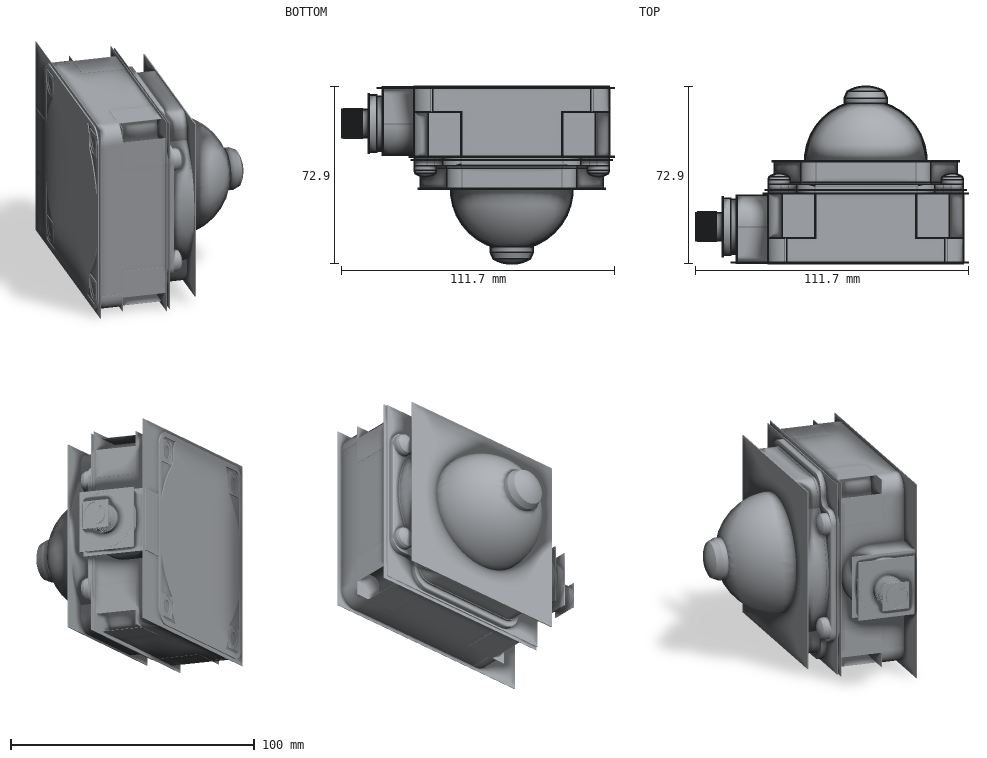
import cadquery as cq
import math


half_x = 40.2
half_z = 40.6
corner_radius = 6.7
wall_step = 0.1
boss_top = 10.7
body_top = 28.8
cover_top = 32.7
cover_rim_fillet = 0.7

sheet = 0.2
rim_sheet_half = 84.1 / 2
rim_sheet_left = -55.1
rim_sheet_right = 42.0
base_sheet_y = 0.6
cover_sheet_y = 30.1
cover_sheet_half = 41.3
top_sheet = 0.5
top_sheet_half = 38.4

well_start = 28.4
well_fillet = 3.3
boss_start_x = 32.4
boss_start_z = 32.9
side_sheet_x = (20.5, 34.2)
side_sheet_z = (22.9, 34.5)
side_sheet_lap = 0.3

hole_offset = 32.5
hole_radius = 2.8
pad_width = 9.5
pad_bore_radius = 4.6
pad_bore_depth = 0.2
pocket_depth = 0.5
pad_height = 0.3
hole_floor = 0.6
pocket_x = 38.0
pocket_z = 38.4
pocket_radius = 4.0
pocket_arc_radius = 35.7
pocket_arc_start_z = 11.3
pocket_arc_end = (27.8, 27.5)
pocket_side_x = 26.7
pocket_side_z = (30.0, 34.5)
pocket_tip_x = 24.5

block_radius = 37.6
block_half_x = 26.6
block_half_z = 37.7
block_fillet = 6.0
block_top = 42.3
seam_height = 0.9
seam_step = 0.2

dome_radius = 25.1
dome_centre_y = 42.0
cap_base_y = 65.9
cap_band_y = 68.0
cap_shoulder_y = 70.8
cap_radius = 8.8
cap_shoulder_radius = 7.6
apex_y = 72.9

screw_x = 35.5
screw_z = 22.5
screw_radius = 4.6
screw_lug_top = 34.5
screw_rim_top = 35.7
screw_rim_radius = 4.1
screw_top = 37.1

gland_y = 15.3
gland_radius = 13.0
gland_base_y = 0.2
gland_face_x = -53.1
gland_sheet = 0.5
gland_sheet_half = 13.2
collar_radius = 11.3
nut_x = (-58.4, -55.4)
nut_radius = 12.3
nut_flat_half = 11.7
nut_sheet = 0.5
nut_sheet_half_y = 12.3
nut_sheet_half_z = 12.6
nut_ring_radius = 12.0
nut_ring_width = 0.2
nut_ring_depth = 0.1

tip_x = -69.7
thread_x = (-68.9, -60.8)
thread_radius = 6.0
core_radius = 5.8
thread_turns = 9
tip_sheet_half = 5.8
socket_radii = (5.1, 4.1)
socket_wall_depth = 0.3
key_radius = 0.7
key_angle = 50


def at_y(y):
    """Workplane across the Y axis; local axes are X and Z."""
    return cq.Workplane("XZ", origin=(0, y, 0))


def at_x(x):
    """Workplane across the X axis on the gland axis; local axes are Y and Z."""
    return cq.Workplane("YZ", origin=(x, gland_y, 0))


def block(x_range, y_range, z_range):
    """Box between two values on each axis."""
    size = [end - start for start, end in (x_range, y_range, z_range)]
    corner = (x_range[0], y_range[0], z_range[0])
    return cq.Workplane("XY").box(*size, centered=False).translate(corner)


def rounded_prism(x_half, z_half, radius, bottom, top):
    prism = at_y(bottom).rect(2 * x_half, 2 * z_half).extrude(bottom - top)
    return prism.edges("|Y").fillet(radius)


def cylinder_y(radius, bottom, top):
    return at_y(bottom).circle(radius).extrude(bottom - top)


def cylinder_x(radius, start, end):
    return at_x(start).circle(radius).extrude(end - start)


def four_corners(quarter):
    """Repeat a feature of the +X +Z quarter in all four quarters."""
    half = quarter.union(quarter.mirror("YZ"))
    return half.union(half.mirror("XY"))


def square_sheet(half, bottom, thickness):
    return block((-half, half), (bottom, bottom + thickness), (-half, half))


def housing():
    x_half = half_x - wall_step
    z_half = half_z - wall_step
    body = rounded_prism(x_half, z_half, corner_radius, 0, cover_top)
    body = body.faces(">Y").edges().fillet(cover_rim_fillet)
    well_floor = well_start + well_fillet
    mouth_start_x = side_sheet_x[0] + side_sheet_lap
    mouth_start_z = side_sheet_z[0] + side_sheet_lap
    mouth_z_radius = well_start - mouth_start_x
    mouth_x_radius = well_start - mouth_start_z
    well = (
        at_y(boss_top)
        .moveTo(mouth_start_x, z_half)
        .radiusArc((well_start, z_half - mouth_z_radius), mouth_z_radius)
        .lineTo(well_start, well_floor)
        .radiusArc((well_floor, well_start), -well_fillet)
        .lineTo(x_half - mouth_x_radius, well_start)
        .radiusArc((x_half, mouth_start_z), mouth_x_radius)
        .lineTo(x_half, z_half)
        .close()
        .extrude(boss_top - cover_top)
    )
    return body.cut(four_corners(well))


def corner_bosses():
    outer = rounded_prism(half_x, half_z, corner_radius, base_sheet_y, boss_top)
    quarter = block((boss_start_x, half_x), (base_sheet_y, boss_top), (boss_start_z, half_z))
    ledge = block((boss_start_x, half_x), (boss_top - sheet, boss_top), (boss_start_z, half_z))
    return four_corners(outer.intersect(quarter).union(ledge))


def side_sheets():
    """Thin walls that partly cover each well, in line with the side walls."""
    levels = (boss_top - sheet, body_top)
    wall_z = block(side_sheet_x, levels, (half_z - wall_step, half_z))
    wall_x = block((half_x - wall_step, half_x), levels, side_sheet_z)
    return four_corners(wall_z.union(wall_x))


def rim_sheets():
    base = block(
        (rim_sheet_left, rim_sheet_right),
        (base_sheet_y, base_sheet_y + sheet),
        (-rim_sheet_half, rim_sheet_half),
    )
    body_sheet = block(
        (-rim_sheet_right, rim_sheet_right),
        (body_top, body_top + sheet),
        (-rim_sheet_half, rim_sheet_half),
    )
    cover_sheet = square_sheet(cover_sheet_half, cover_sheet_y, sheet)
    block_sheet = square_sheet(top_sheet_half, block_top - top_sheet, top_sheet)
    return base.union(body_sheet).union(cover_sheet).union(block_sheet)


def dome_block():
    def outline(extra, top):
        disc = cylinder_y(block_radius + extra, body_top, top)
        bar = rounded_prism(block_half_x + extra, block_half_z + extra, block_fillet, body_top, top)
        return disc.union(bar)

    return outline(0, block_top).union(outline(seam_step, cover_top + seam_height))


def dome():
    sphere = cq.Workplane("XY").sphere(dome_radius).translate((0, dome_centre_y, 0))
    upper = block((-dome_radius, dome_radius), (dome_centre_y, apex_y), (-dome_radius, dome_radius))
    crown_height = apex_y - cap_shoulder_y
    crown_radius = (cap_shoulder_radius**2 + crown_height**2) / (2 * crown_height)
    mid_x = cap_shoulder_radius / 2
    mid_y = apex_y - crown_radius + math.sqrt(crown_radius**2 - mid_x**2)
    neck_y = dome_centre_y + dome_radius / 2
    cap = (
        cq.Workplane("XY")
        .moveTo(0, neck_y)
        .lineTo(cap_shoulder_radius, neck_y)
        .lineTo(cap_shoulder_radius, cap_base_y)
        .lineTo(cap_radius, cap_base_y)
        .lineTo(cap_radius, cap_band_y)
        .lineTo(cap_shoulder_radius, cap_shoulder_y)
        .threePointArc((mid_x, mid_y), (0, apex_y))
        .close()
        .revolve(360, (0, 0, 0), (0, 1, 0))
    )
    return sphere.intersect(upper).union(cap)


def cover_screws():
    head_height = screw_top - screw_rim_top
    head_radius = (screw_rim_radius**2 + head_height**2) / (2 * head_height)
    mid_x = screw_rim_radius / 2
    mid_y = screw_top - head_radius + math.sqrt(head_radius**2 - mid_x**2)
    screw = (
        cq.Workplane("XY")
        .moveTo(0, body_top)
        .lineTo(screw_radius, body_top)
        .lineTo(screw_radius, screw_lug_top)
        .lineTo(screw_rim_radius, screw_rim_top)
        .threePointArc((mid_x, mid_y), (0, screw_top))
        .close()
        .revolve(360, (0, 0, 0), (0, 1, 0))
    )
    return four_corners(screw.translate((screw_x, 0, screw_z)))


def corner_pockets():
    """Shallow recess around each mounting hole, leaving a square pad at the hole."""
    pocket = (
        at_y(0)
        .moveTo(pocket_x, pocket_arc_start_z)
        .radiusArc(pocket_arc_end, -pocket_arc_radius)
        .lineTo(pocket_side_x, pocket_side_z[0])
        .lineTo(pocket_side_x, pocket_side_z[1])
        .lineTo(pocket_tip_x, pocket_z)
        .lineTo(pocket_x - pocket_radius, pocket_z)
        .radiusArc((pocket_x, pocket_z - pocket_radius), pocket_radius)
        .close()
        .extrude(-pocket_depth)
    )
    pad_bottom = pocket_depth - pad_height
    pad = at_y(pad_bottom).center(hole_offset, hole_offset).rect(pad_width, pad_width)
    return four_corners(pocket.cut(pad.extrude(-pad_height)))


def mounting_holes():
    bore = cylinder_y(pad_bore_radius, 0, pocket_depth - pad_height + pad_bore_depth)
    hole = cylinder_y(hole_radius, 0, hole_floor)
    return four_corners(bore.union(hole).translate((hole_offset, 0, hole_offset)))


def gland():
    arch = cylinder_x(gland_radius, gland_face_x, -half_x + corner_radius)
    foot = block(
        (gland_face_x, -half_x + corner_radius),
        (gland_base_y, gland_y),
        (-gland_radius, gland_radius),
    )
    face = block(
        (gland_face_x, gland_face_x + gland_sheet),
        (gland_base_y, gland_y + gland_radius),
        (-gland_sheet_half, gland_sheet_half),
    )
    collar = cylinder_x(collar_radius, nut_x[1], gland_face_x)
    nut = cylinder_x(nut_radius, *nut_x)
    flats = at_x(nut_x[0]).rect(2 * nut_flat_half, 2 * nut_radius).extrude(nut_x[1] - nut_x[0])
    nut_face = at_x(nut_x[0]).rect(2 * nut_sheet_half_y, 2 * nut_sheet_half_z).extrude(-nut_sheet)
    ring_x = nut_x[0] - nut_sheet
    ring = (
        at_x(ring_x)
        .circle(nut_ring_radius)
        .circle(nut_ring_radius - nut_ring_width)
        .extrude(nut_ring_depth)
    )
    shell = arch.union(foot).union(face).union(collar)
    return shell.union(nut.intersect(flats)).union(nut_face.cut(ring))


def threaded_plug():
    plug = cylinder_x(core_radius, tip_x, nut_x[0])
    pitch = (thread_x[1] - thread_x[0]) / thread_turns
    for turn in range(thread_turns):
        start = thread_x[0] + turn * pitch
        plug = plug.union(cylinder_x(thread_radius, start, start + pitch / 2))
    tip_face = at_x(tip_x).rect(2 * tip_sheet_half, 2 * tip_sheet_half).extrude(sheet)
    groove = (
        at_x(tip_x)
        .circle(socket_radii[0])
        .circle(socket_radii[1])
        .extrude(socket_wall_depth)
    )
    key_reach = socket_radii[1] - key_radius
    angle = math.radians(180 - key_angle)
    key = (
        at_x(tip_x)
        .center(key_reach * math.cos(angle), key_reach * math.sin(angle))
        .circle(key_radius)
        .extrude(socket_wall_depth)
    )
    return plug.union(tip_face).cut(groove).cut(key)


result = housing()
for feature in (
    corner_bosses(),
    side_sheets(),
    rim_sheets(),
    dome_block(),
    dome(),
    cover_screws(),
    gland(),
    threaded_plug(),
):
    result = result.union(feature)
result = result.cut(corner_pockets()).cut(mounting_holes())